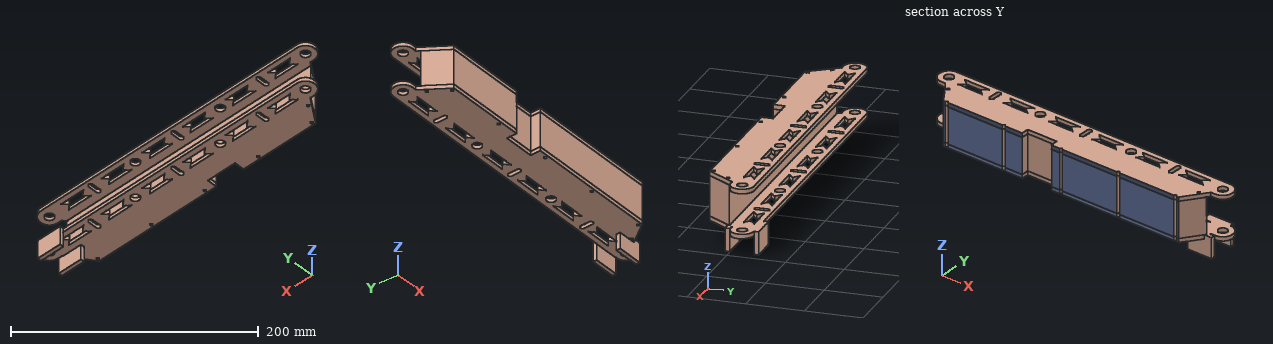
import cadquery as cq


length = 303.5
eye_radius = 10.0
eye_x = length / 2 - eye_radius
front_y = -35.2
plate_thickness = 4.0
front_corner_x = 120.0
shoulder_x = 137.5

notch_left = -40.0
notch_right = -10.0
notch_depth = 10.0

spacer_height = 35.0
spacer_back_y = -13.0

eye_hole_diameter = 8.5
round_hole_xs = [-eye_x, -47.5, 46.7, eye_x]
slot_xs = [-94.0, 0.0, 92.0]
slot_width = 4.2
slot_length = 13.0
bowtie_xs = [-116.5, -69.5, -22.5, 22.5, 67.7, 112.3]
bowtie_width = 25.2
bowtie_height = 9.0
bowtie_vee_depth = 5.5

screw_diameter = 2.4
screw_edge_gap = 3.0
screw_pitch = 59.2
front_screw_count = 5
slant_screw_points = [(-130.2, -15.5), (130.0, -16.0)]
screw_points = slant_screw_points + [
    ((i - (front_screw_count - 1) / 2) * screw_pitch, front_y + screw_edge_gap)
    for i in range(front_screw_count)
]

tab_width = 25.0
tab_thickness = 4.0
tab_drop = 16.0
front_tab_outer_y = -14.5

upper_z = plate_thickness + spacer_height


def slant_x(y):
    """Distance from the middle to the slanted end edge at a given y."""
    run = (shoulder_x - front_corner_x) / (-eye_radius - front_y)
    return front_corner_x + run * (y - front_y)


def front_edge(sketch):
    """Continue an outline along the front edge, from left to right and around the notch."""
    notch_y = front_y + notch_depth
    return (
        sketch.lineTo(-front_corner_x, front_y)
        .lineTo(notch_left, front_y)
        .lineTo(notch_left, notch_y)
        .lineTo(notch_right, notch_y)
        .lineTo(notch_right, front_y)
        .lineTo(front_corner_x, front_y)
    )


def cut_bowties(plate):
    half_width = bowtie_width / 2
    half_height = bowtie_height / 2
    waist = half_width - bowtie_vee_depth
    outline = [
        (-half_width, half_height),
        (half_width, half_height),
        (waist, 0),
        (half_width, -half_height),
        (-half_width, -half_height),
        (-waist, 0),
    ]
    for x in bowtie_xs:
        bowtie = cq.Workplane(origin=(x, 0, 0)).polyline(outline).close().extrude(plate_thickness)
        plate = plate.cut(bowtie)
    return plate


def make_plate():
    """Plate with an eye at each end, resting on z = 0."""
    outline = cq.Workplane().moveTo(-eye_x, eye_radius)
    outline = outline.threePointArc((-length / 2, 0), (-eye_x, -eye_radius))
    outline = outline.lineTo(-shoulder_x, -eye_radius)
    outline = front_edge(outline).lineTo(shoulder_x, -eye_radius).lineTo(eye_x, -eye_radius)
    plate = outline.threePointArc((length / 2, 0), (eye_x, eye_radius)).close().extrude(plate_thickness)

    round_holes = cq.Workplane().pushPoints([(x, 0) for x in round_hole_xs])
    plate = plate.cut(round_holes.circle(eye_hole_diameter / 2).extrude(plate_thickness))

    slots = cq.Workplane().pushPoints([(x, 0) for x in slot_xs])
    plate = plate.cut(slots.slot2D(slot_length, slot_width, 90).extrude(plate_thickness))

    screws = cq.Workplane().pushPoints(screw_points)
    plate = plate.cut(screws.circle(screw_diameter / 2).extrude(plate_thickness))
    return cut_bowties(plate)


def make_tab(inner_y, outer_y):
    """Upright tab ending at the right eye's axis, level with the top of the lower plate."""
    return (
        cq.Workplane(origin=(0, 0, -tab_drop))
        .moveTo(eye_x - tab_width, inner_y)
        .lineTo(eye_x, inner_y)
        .lineTo(eye_x, outer_y)
        .lineTo(eye_x - tab_width, outer_y)
        .close()
        .extrude(tab_drop + plate_thickness)
    )


def make_lower_plate():
    back_tab = make_tab(eye_radius, eye_radius + tab_thickness)
    front_tab = make_tab(front_tab_outer_y + tab_thickness, front_tab_outer_y)
    return make_plate().union(back_tab).union(front_tab)


def make_spacer():
    """Block between the plates, flush with their front and slanted edges."""
    back_x = slant_x(spacer_back_y)
    outline = front_edge(cq.Workplane().moveTo(-back_x, spacer_back_y))
    block = outline.lineTo(back_x, spacer_back_y).close().extrude(spacer_height)
    screws = cq.Workplane().pushPoints(screw_points)
    block = block.cut(screws.circle(screw_diameter / 2).extrude(spacer_height))
    return block.translate((0, 0, plate_thickness))


lower_plate = make_lower_plate()
spacer = make_spacer()
upper_plate = make_plate().translate((0, 0, upper_z))

result = cq.Compound.makeCompound([lower_plate.val(), spacer.val(), upper_plate.val()])